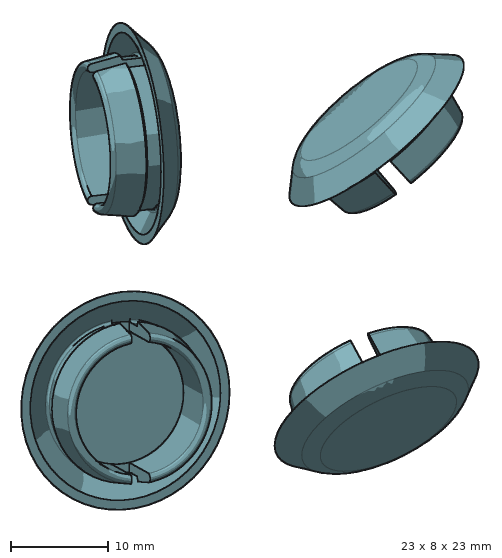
import cadquery as cq
import math


rim_radius = 11.5
rim_land = 1.01
cap_height = 3.47
dome_radius = 57.5
dome_blend = 3.0
cone_angle = 45.0

recess_depth = 1.5
floor_depth = 1.98
floor_radius = dome_radius - (cap_height - floor_depth)

bore_radius = 7.0
neck_radius = 7.98
barb_radius = 8.49
barb_root_y = -0.71
barb_peak_y = -1.01
tip_outer_radius = 7.95
tip_round_y = -4.1
tip_y = -4.53
root_fillet = 0.23
slot_width = 2.0


def sphere_y(apex_y, sphere_radius, radius):
    """Height at a given distance from the axis on a sphere with its apex on the axis."""
    return apex_y - sphere_radius + math.sqrt(sphere_radius**2 - radius**2)


def turn(profile):
    """Revolve a closed profile in the XY plane about the Y axis."""
    return profile.close().revolve(360, (0, 0, 0), (0, 1, 0))


def cone_dome_radius():
    """Radius at which the outer cone meets the dome sphere."""
    slope = math.tan(math.radians(cone_angle))
    sphere_center = cap_height - dome_radius
    offset = slope * rim_radius - sphere_center
    a = 1 + slope**2
    b = -2 * slope * offset
    c = offset**2 - dome_radius**2
    return (-b - math.sqrt(b**2 - 4 * a * c)) / (2 * a)


def make_cap():
    edge_radius = cone_dome_radius()
    edge_y = sphere_y(cap_height, dome_radius, edge_radius)
    arc_mid = edge_radius / 2
    cap = turn(
        cq.Workplane("XY")
        .moveTo(0, 0)
        .lineTo(rim_radius, 0)
        .lineTo(edge_radius, edge_y)
        .threePointArc((arc_mid, sphere_y(cap_height, dome_radius, arc_mid)), (0, cap_height))
    )
    edge_margin = 0.23
    dome_edge = cq.selectors.BoxSelector(
        (-rim_radius, edge_y - edge_margin, -rim_radius),
        (rim_radius, edge_y + edge_margin, rim_radius),
        boundingbox=True,
    )
    cap = cap.edges(dome_edge).fillet(dome_blend)
    recess = turn(
        cq.Workplane("XY")
        .lineTo(rim_radius - rim_land, 0)
        .lineTo(neck_radius, recess_depth)
        .lineTo(0, recess_depth)
    )
    return cap.cut(recess)


def make_clip_ring():
    tip_mid_radius = (bore_radius + tip_outer_radius) / 2
    return turn(
        cq.Workplane("XY")
        .moveTo(bore_radius, recess_depth)
        .lineTo(bore_radius, tip_round_y)
        .threePointArc((tip_mid_radius, tip_y), (tip_outer_radius, tip_round_y))
        .lineTo(barb_radius, barb_peak_y)
        .lineTo(neck_radius, barb_root_y)
        .lineTo(neck_radius, recess_depth)
    )


def make_root_fillet():
    """Rounded corner between the neck and the recess cone."""
    cone_run = rim_radius - rim_land - neck_radius
    included_angle = math.atan2(cone_run, recess_depth)
    setback = root_fillet / math.tan(included_angle / 2)
    cone_length = math.hypot(cone_run, recess_depth)
    on_neck = (neck_radius, recess_depth - setback)
    on_cone = (
        neck_radius + setback * cone_run / cone_length,
        recess_depth - setback * recess_depth / cone_length,
    )
    return turn(
        cq.Workplane("XY")
        .moveTo(neck_radius, recess_depth)
        .lineTo(*on_neck)
        .radiusArc(on_cone, root_fillet)
    )


def make_floor():
    """Shallow spherical hollow inside the clip ring."""
    arc_mid = bore_radius / 2
    return turn(
        cq.Workplane("XY")
        .moveTo(0, recess_depth)
        .lineTo(bore_radius, recess_depth)
        .lineTo(bore_radius, sphere_y(floor_depth, floor_radius, bore_radius))
        .threePointArc((arc_mid, sphere_y(floor_depth, floor_radius, arc_mid)), (0, floor_depth))
    )


def make_slot():
    """Slot that splits the clip ring into two halves."""
    slot_depth = recess_depth - tip_y
    return (
        cq.Workplane("XY", origin=(0, tip_y, 0))
        .box(slot_width, slot_depth, 2 * rim_radius, centered=(True, False, True))
    )


split_ring = make_clip_ring().union(make_root_fillet()).cut(make_slot())
result = make_cap().cut(make_floor()).union(split_ring)